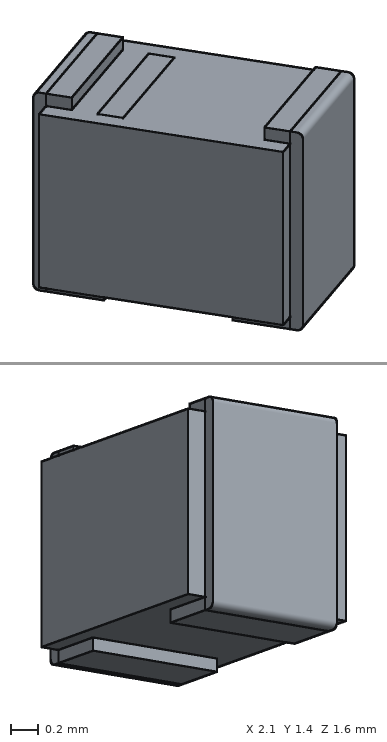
import cadquery as cq

LENGTH = 2.1
WIDTH = 1.4
HEIGHT = 1.6

PLATE_THICKNESS = 0.1
TERMINAL_WIDTH = 1.1
TOP_TAB_LENGTH = 0.2
BOTTOM_TAB_LENGTH = 0.45
CORNER_RADIUS = 0.05

MARK_LENGTH = 0.2
MARK_CENTER_X = -0.45
MARK_DEPTH = 0.01

CORE_LENGTH = LENGTH - 2 * PLATE_THICKNESS
CORE_HEIGHT = WIDTH
CORE_TOP = CORE_HEIGHT / 2
TAB_THICKNESS = (HEIGHT - CORE_HEIGHT) / 2


def make_mark():
    """Thin polarity strip whose top is flush with the core."""
    center_z = CORE_TOP - MARK_DEPTH / 2
    strip = cq.Workplane("XY").box(MARK_LENGTH, TERMINAL_WIDTH, MARK_DEPTH)
    return strip.translate((MARK_CENTER_X, 0, center_z))


def make_core(mark):
    """Rectangular core with a recess that fits the mark."""
    return cq.Workplane("XY").box(CORE_LENGTH, WIDTH, CORE_HEIGHT).cut(mark)


def make_end_plate(x_side):
    """Full-height plate on one end, with rounded outer top and bottom edges."""
    center_x = x_side * (LENGTH - PLATE_THICKNESS) / 2
    outer_face = ">X" if x_side > 0 else "<X"
    plate = cq.Workplane("XY").box(PLATE_THICKNESS, TERMINAL_WIDTH, HEIGHT)
    plate = plate.faces(outer_face).edges("|Y").fillet(CORNER_RADIUS)
    return plate.translate((center_x, 0, 0))


def make_tab(x_side, z_side, tab_length):
    """Flat tab reaching inward from an end plate over the core."""
    center_x = x_side * (CORE_LENGTH - tab_length) / 2
    center_z = z_side * (HEIGHT - TAB_THICKNESS) / 2
    tab = cq.Workplane("XY").box(tab_length, TERMINAL_WIDTH, TAB_THICKNESS)
    return tab.translate((center_x, 0, center_z))


mark = make_mark()
core = make_core(mark)

end_plates = []
top_tabs = []
bottom_tabs = []
for x_side in (-1, 1):
    end_plates.append(make_end_plate(x_side).val())
    top_tabs.append(make_tab(x_side, 1, TOP_TAB_LENGTH).val())
    bottom_tabs.append(make_tab(x_side, -1, BOTTOM_TAB_LENGTH).val())

result = cq.Compound.makeCompound(
    [core.val(), mark.val(), *end_plates, *top_tabs, *bottom_tabs]
)